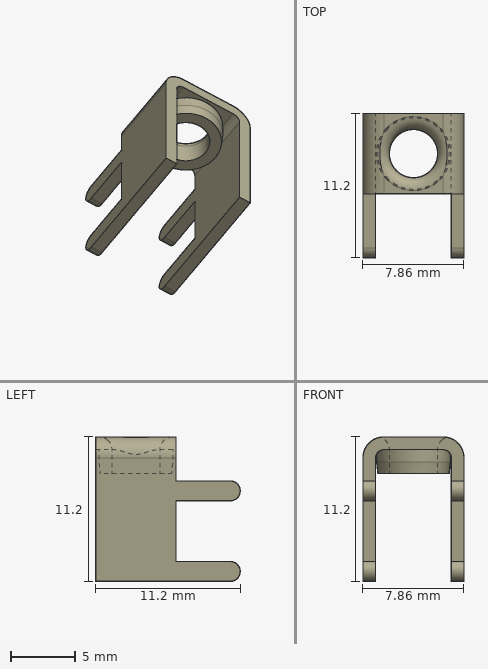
import cadquery as cq
import math

width = 7.86
length = 11.23
height = 11.23

sheet = 1.0
bend_outer_radius = 1.63
bend_inner_radius = bend_outer_radius - sheet
plate_depth = 6.25

pin_height = 1.56
pin_radius = pin_height / 2
upper_pin_bottom = 6.25
pin_bottoms = (0.0, upper_pin_bottom)

bore_radius = 1.86
mouth_radius = 2.86
flare_radius = mouth_radius - bore_radius
collar_radius = 2.87
collar_end_radius = 2.77
taper_start_drop = 1.97
collar_end_drop = 2.86

inner_half_width = width / 2 - sheet
collar_center_y = length - plate_depth / 2


def make_bracket():
    """U-shaped sheet with rounded bends, open at the bottom."""
    outer = (
        cq.Workplane("XY")
        .box(width, plate_depth, height, centered=(True, False, False))
        .edges("|Y and >Z")
        .fillet(bend_outer_radius)
    )
    inner = (
        cq.Workplane("XY")
        .box(2 * inner_half_width, plate_depth, height - sheet, centered=(True, False, False))
        .edges("|Y and >Z")
        .fillet(bend_inner_radius)
    )
    return outer.cut(inner).translate((0, length - plate_depth, 0))


def make_pin(wall_start_x, bottom):
    """Round-ended pin lying in the plane of one side wall."""
    root_y = length - plate_depth
    top = bottom + pin_height
    return (
        cq.Workplane("YZ", origin=(wall_start_x, 0, 0))
        .moveTo(root_y, bottom)
        .lineTo(pin_radius, bottom)
        .threePointArc((0, bottom + pin_radius), (pin_radius, top))
        .lineTo(root_y, top)
        .close()
        .extrude(sheet)
    )


def revolve_about_hole(profile):
    """Turn a radius-height profile about the vertical hole axis."""
    return profile.close().revolve(360, (0, 0, 0), (0, 1, 0)).translate((0, collar_center_y, 0))


def make_collar():
    """Solid plug below the top sheet, tapered toward its lower end."""
    collar_end_z = height - collar_end_drop
    profile = (
        cq.Workplane("XZ")
        .moveTo(0, height - sheet)
        .lineTo(collar_radius, height - sheet)
        .lineTo(collar_radius, height - taper_start_drop)
        .lineTo(collar_end_radius, collar_end_z)
        .lineTo(0, collar_end_z)
    )
    return revolve_about_hole(profile)


def make_bore():
    """Through bore whose mouth flares out tangent to the top face."""
    flare_bottom_z = height - flare_radius
    diagonal = flare_radius * math.sqrt(0.5)
    profile = (
        cq.Workplane("XZ")
        .moveTo(0, height)
        .lineTo(mouth_radius, height)
        .threePointArc(
            (mouth_radius - diagonal, flare_bottom_z + diagonal),
            (bore_radius, flare_bottom_z),
        )
        .lineTo(bore_radius, 0)
        .lineTo(0, 0)
    )
    return revolve_about_hole(profile)


result = make_bracket().union(make_collar())
for wall_start_x in (-width / 2, inner_half_width):
    for bottom in pin_bottoms:
        result = result.union(make_pin(wall_start_x, bottom))
result = result.cut(make_bore())